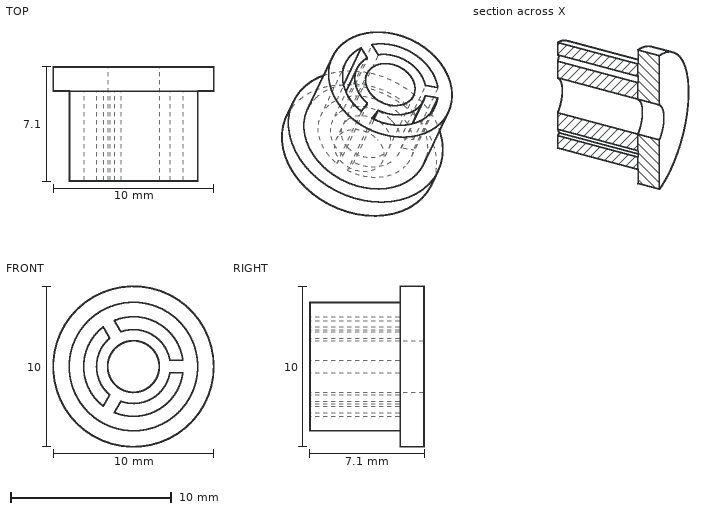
import cadquery as cq

flange_diameter = 10.0
flange_thickness = 1.5
barrel_diameter = 8.0
barrel_length = 5.6
bore_diameter = 3.2

cavity_inner_diameter = 4.6
cavity_outer_diameter = 6.2
cavity_depth = barrel_length
spoke_width = 0.8
spoke_count = 3


def tube(outer_diameter, inner_diameter, start_y, length):
    """Hollow cylinder running from start_y towards +Y."""
    return (
        cq.Workplane("XZ", origin=(0, start_y, 0))
        .circle(outer_diameter / 2)
        .circle(inner_diameter / 2)
        .extrude(-length)
    )


def make_spoke(angle):
    """Radial bar from the axis outwards, turned about Y from the +X direction."""
    reach = cavity_outer_diameter
    return (
        cq.Workplane("XY")
        .box(reach, cavity_depth, spoke_width, centered=(False, False, True))
        .rotate((0, 0, 0), (0, 1, 0), angle)
    )


def make_cavities():
    """Annular cavity with material left for the spokes."""
    cavities = tube(cavity_outer_diameter, cavity_inner_diameter, 0, cavity_depth)
    for index in range(spoke_count):
        cavities = cavities.cut(make_spoke(index * 360 / spoke_count))
    return cavities


def make_barrel():
    """Spoked sleeve whose +Y end rests against the flange."""
    return tube(barrel_diameter, bore_diameter, 0, barrel_length).cut(make_cavities())


def make_flange():
    """Plain ring that closes the cavities at the +Y end of the barrel."""
    return tube(flange_diameter, bore_diameter, barrel_length, flange_thickness)


barrel = make_barrel()
flange = make_flange()

result = cq.Compound.makeCompound([barrel.val(), flange.val()])